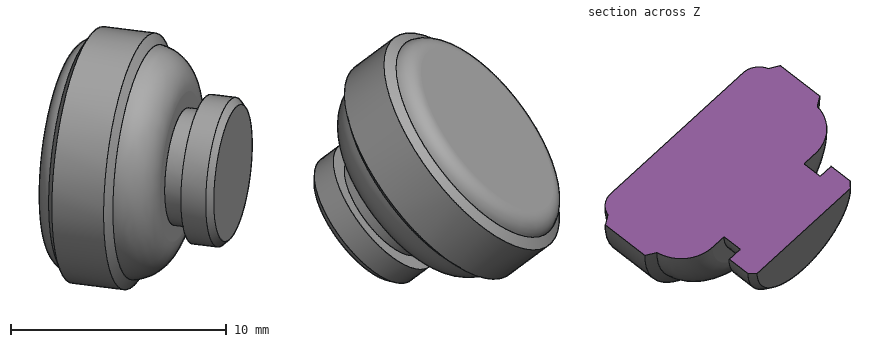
import math

import cadquery as cq

total_length = 8.0

rim_radius = 6.0
shoulder_radius = 5.5
rim_start_x = 1.0
rim_end_x = 3.5
rim_chamfer_length = 0.3
front_round_radius = 1.0
back_round_radius = 2.0
head_end_x = 5.5

neck_radius = 2.75
neck_length = 1.0
flange_radius = 3.5
flange_chamfer = 0.3

front_round_end_x = rim_start_x - rim_chamfer_length
back_round_start_x = rim_end_x + rim_chamfer_length
flange_start_x = head_end_x + neck_length
flange_chamfer_x = total_length - flange_chamfer


def flat_face_radius(round_radius, round_length):
    """Radius of an end face whose edge round is tangent to it and reaches the shoulder radius."""
    center_offset = round_radius - round_length
    return shoulder_radius - math.sqrt(round_radius**2 - center_offset**2)


front_face_radius = flat_face_radius(front_round_radius, front_round_end_x)
back_face_radius = flat_face_radius(back_round_radius, head_end_x - back_round_start_x)


def make_knob():
    """Revolve the half outline (axial position, radius) about the X axis."""
    outline = (
        cq.Workplane("XY")
        .lineTo(0, front_face_radius)
        .radiusArc((front_round_end_x, shoulder_radius), front_round_radius)
        .lineTo(rim_start_x, rim_radius)
        .lineTo(rim_end_x, rim_radius)
        .lineTo(back_round_start_x, shoulder_radius)
        .radiusArc((head_end_x, back_face_radius), back_round_radius)
        .lineTo(head_end_x, neck_radius)
        .lineTo(flange_start_x, neck_radius)
        .lineTo(flange_start_x, flange_radius)
        .lineTo(flange_chamfer_x, flange_radius)
        .lineTo(total_length, flange_radius - flange_chamfer)
        .lineTo(total_length, 0)
        .close()
    )
    return outline.revolve(360, (0, 0, 0), (1, 0, 0))


result = make_knob()